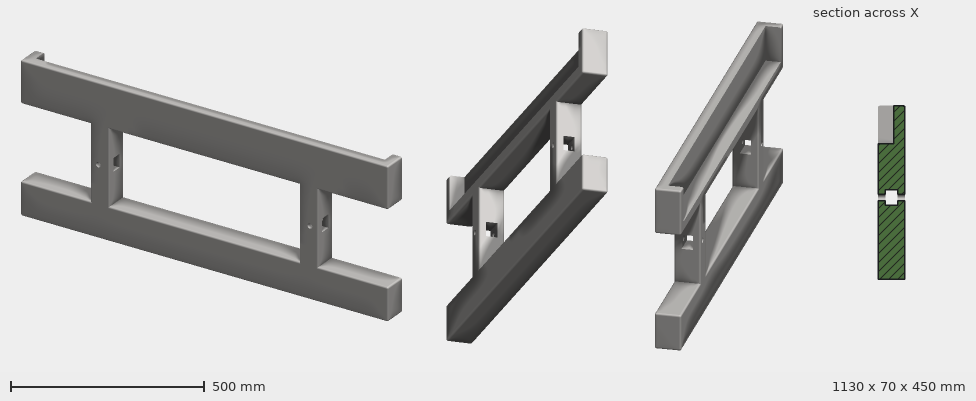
import cadquery as cq

length = 1130.0
depth = 70.0
height = 450.0

lower_beam_height = 100.0
upper_beam_height = 125.0
post_width = 58.0
post_offset = 321.0
edge_radius = 5.0

wall = 28.0
pocket_depth_y = 41.0
pocket_depth_z = upper_beam_height - wall

opening_height = 212.0
hole_offset = 325.0
hole_diameter = 15.0
slot_depth_y = 30.0
slot_height = 40.0


def block(size_x, size_y, size_z, x, y, z):
    """Box centred on x, with its front face at y and its underside at z."""
    return cq.Workplane("XY").box(size_x, size_y, size_z, centered=(True, False, False)).translate((x, y, z))


def frame():
    """Beams and posts as one solid, with all outer edges rounded; the inside corners stay sharp."""
    upper_beam_z = height - upper_beam_height
    body = block(length, depth, lower_beam_height, 0, 0, 0)
    body = body.union(block(length, depth, upper_beam_height, 0, 0, upper_beam_z))
    for side in (-1, 1):
        body = body.union(block(post_width, depth, height, side * post_offset, 0, 0))
    body = body.clean()
    beam_ends = body.faces("<X or >X").edges("|Y")
    outlines = body.faces("<Y or >Y").edges()
    return body.newObject(beam_ends.vals() + outlines.vals()).fillet(edge_radius)


def pocket():
    """Cutter for the pocket in the upper beam."""
    return block(
        length - 2 * wall, pocket_depth_y, pocket_depth_z,
        0, depth - pocket_depth_y, height - pocket_depth_z,
    )


def round_hole(side):
    """Cutter for the round hole that passes front to back through one post."""
    return (
        cq.Workplane("XZ")
        .center(side * hole_offset, opening_height)
        .circle(hole_diameter / 2)
        .extrude(-depth)
    )


def slot():
    """Cutter for the rectangular opening that passes lengthwise through both posts."""
    return block(length, slot_depth_y, slot_height, 0,
                 (depth - slot_depth_y) / 2, opening_height - slot_height / 2)


result = frame().cut(pocket()).cut(slot())
for side in (-1, 1):
    result = result.cut(round_hole(side))